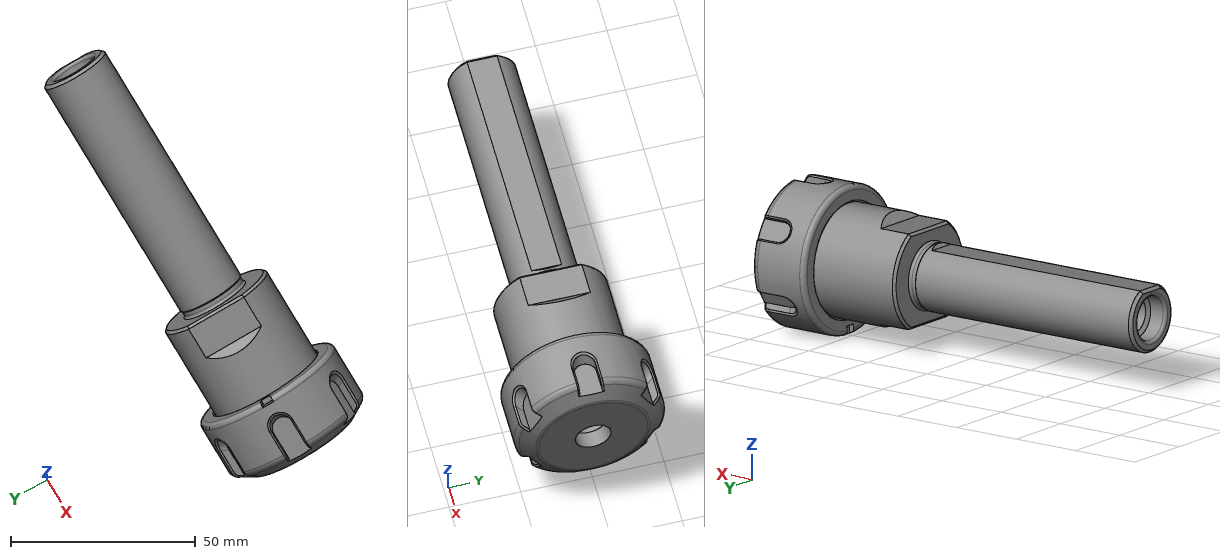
import cadquery as cq
import math

total_length = 121.9
shoulder_x = 75.0
nut_rear_x = 101.8
nose_end_x = 117.2

shank_diameter = 19.0
body_diameter = 32.0
bore_diameter = 10.0
shank_chamfer = 0.9
shoulder_chamfer = 0.7

neck_diameter = 18.4
neck_start_x = 72.7
neck_blend_length = 0.9
neck_blend_height = 0.5

entry_diameter = 12.5
entry_mouth_radius = 0.9
entry_end_x = 5.1
drill_point_angle = 120.0

shank_flat_height = 8.5
shank_flat_end_x = 71.1
wrench_flat_height = 13.4
wrench_flat_end_x = 85.0

nut_diameter = 42.0
nut_radius = nut_diameter / 2
nut_rear_fillet = 1.5
thread_relief_diameter = 33.0
thread_relief_depth = 0.6
nut_cone_start_x = 118.6
nut_face_diameter = 31.2
nut_cone_fillet = 2.1
nut_face_fillet = 1.5

slot_width = 6.2
slot_floor = 18.0
slot_end_slope = 0.55
slot_rim_chamfer = 0.5
short_slot_start_x = 110.3
long_slot_start_x = 108.4
short_slot_angles = (0, 60, -60)
long_slot_angles = (120, 180, 240)

notch_inner_width = 2.7
notch_outer_width = 3.4
notch_floor = 18.2
notch_depth = 1.5

clearance = 0.1

X_AXIS = (cq.Vector(0, 0, 0), cq.Vector(1, 0, 0))


def revolve_about_x(outline):
    """Close an outline drawn as (x, radius) and turn it about the X axis."""
    return outline.close().revolve(360, (0, 0, 0), (1, 0, 0))


def rod(diameter, start_x, end_x):
    """Plain cylinder along X."""
    return cq.Workplane("YZ", origin=(start_x, 0, 0)).circle(diameter / 2).extrude(end_x - start_x)


def flat_cutter(height, start_x, end_x, chamfer, size):
    """Material above a flat: chamfered at its rear edge, running out at 45 degrees in front."""
    outline = [
        (start_x, height - chamfer),
        (start_x + chamfer, height),
        (end_x, height),
        (end_x + size - height, size),
        (start_x, size),
    ]
    return cq.Workplane("XZ").polyline(outline).close().extrude(size, both=True)


def make_shank():
    """Shank with one clamping flat and a chamfered rear end."""
    shank = rod(shank_diameter, 0, neck_start_x).faces("<X").chamfer(shank_chamfer)
    return shank.cut(
        flat_cutter(shank_flat_height, 0, shank_flat_end_x, shank_chamfer, shank_diameter))


def make_neck():
    """Undercut with a sloped entry and an arc that rises to the shoulder."""
    shank_radius = shank_diameter / 2
    neck_radius = neck_diameter / 2
    outline = (
        cq.Workplane("XY")
        .moveTo(neck_start_x, 0)
        .lineTo(neck_start_x, shank_radius)
        .lineTo(neck_start_x + shank_radius - neck_radius, neck_radius)
        .lineTo(shoulder_x - neck_blend_length, neck_radius)
        .tangentArcPoint((shoulder_x, neck_radius + neck_blend_height), relative=False)
        .lineTo(shoulder_x, 0)
    )
    return revolve_about_x(outline)


def make_head():
    """Large diameter with two opposite wrench flats and a chamfered shoulder."""
    head = rod(body_diameter, shoulder_x, nose_end_x).faces("<X").chamfer(shoulder_chamfer)
    flat = flat_cutter(
        wrench_flat_height, shoulder_x, wrench_flat_end_x, shoulder_chamfer, body_diameter)
    return head.cut(flat).cut(flat.mirror("XY"))


def entry_bore():
    """Cutter for the wider bore; its mouth flares out in a quarter round."""
    radius = entry_diameter / 2
    drill_point = (radius - bore_diameter / 2) / math.tan(math.radians(drill_point_angle / 2))
    outline = (
        cq.Workplane("XY")
        .lineTo(0, radius + entry_mouth_radius)
        .radiusArc((entry_mouth_radius, radius), -entry_mouth_radius)
        .lineTo(entry_end_x, radius)
        .lineTo(entry_end_x + drill_point, bore_diameter / 2)
        .lineTo(entry_end_x + drill_point, 0)
    )
    return revolve_about_x(outline)


def make_body():
    """Shank, neck and head in one piece, bored through."""
    body = make_shank().union(make_neck()).union(make_head())
    body = body.cut(rod(bore_diameter, 0, nose_end_x))
    return body.cut(entry_bore())


def make_nut_blank():
    """Round nut with a rounded rear edge and a front cone blended into the outside."""
    profile = [
        (nut_rear_x, 0),
        (nut_rear_x, nut_radius),
        (nut_cone_start_x, nut_radius),
        (total_length, nut_face_diameter / 2),
        (total_length, 0),
    ]
    blank = revolve_about_x(cq.Workplane("XY").polyline(profile))
    blank = blank.edges("<X").fillet(nut_rear_fillet)
    blank = blank.edges(">X").fillet(nut_face_fillet)
    cone_edge = cq.selectors.BoxSelector(
        (nut_cone_start_x - clearance, -nut_radius, -nut_radius),
        (nut_cone_start_x + clearance, nut_radius, nut_radius),
    )
    return blank.edges(cone_edge).fillet(nut_cone_fillet)


def slot_cutter(start_x):
    """Round-ended slot, open to the front, whose end wall leans back as it rises."""
    half_width = slot_width / 2
    height = nut_radius - slot_floor + clearance
    open_x = total_length + height
    outline = (
        cq.Workplane("XY", origin=(0, 0, slot_floor))
        .moveTo(open_x, -half_width)
        .lineTo(start_x + half_width, -half_width)
        .threePointArc((start_x, 0), (start_x + half_width, half_width))
        .lineTo(open_x, half_width)
        .close()
    )
    lean = cq.Vector(-slot_end_slope * height, 0, height)
    solid = cq.Solid.extrudeLinear(outline.val(), [], lean)
    return cq.Workplane(solid)


def add_slot(nut, start_x, angle):
    """Turn the nut until the slot position is on top, cut the slot, chamfer its rim, turn back."""
    nut = nut.rotate(*X_AXIS, -angle).cut(slot_cutter(start_x))
    reach = slot_width / 2 + clearance
    above_floor = cq.selectors.BoxSelector(
        (nut_rear_x, -reach, slot_floor + clearance),
        (total_length, reach, nut_radius + clearance),
    )
    rim = nut.edges(above_floor).edges("|X or (not %LINE)")
    return rim.chamfer(slot_rim_chamfer).rotate(*X_AXIS, angle)


def notch_cutter():
    """Shallow tapered notch, widening outward."""
    outer = nut_radius + clearance
    outline = [
        (-notch_inner_width / 2, -notch_floor),
        (notch_inner_width / 2, -notch_floor),
        (notch_outer_width / 2, -outer),
        (-notch_outer_width / 2, -outer),
    ]
    face = cq.Workplane("YZ", origin=(nut_rear_x, 0, 0)).polyline(outline).close()
    return face.extrude(notch_depth)


def make_nut():
    """Nut closed around the front of the body, with six slots and a marking notch."""
    nut = make_nut_blank()
    for start_x, angles in (
        (short_slot_start_x, short_slot_angles),
        (long_slot_start_x, long_slot_angles),
    ):
        for angle in angles:
            nut = add_slot(nut, start_x, angle)
    nut = nut.cut(notch_cutter())
    nut = nut.cut(rod(bore_diameter, nut_rear_x, total_length))
    nut = nut.cut(rod(body_diameter, nut_rear_x, nose_end_x))
    return nut.cut(rod(thread_relief_diameter, nut_rear_x, nut_rear_x + thread_relief_depth))


body = make_body()
nut = make_nut()

result = cq.Compound.makeCompound([body.solids().val(), nut.solids().val()])